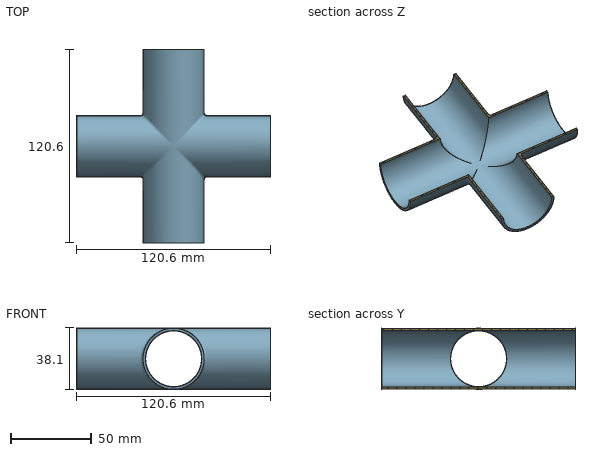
import cadquery as cq

length = 120.6
outer_diameter = 38.1
inner_diameter = 34.7
crotch_radius = 1.6


def crossed_cylinders(diameter):
    """Return two full-length cylinders, along X and Y, joined at the origin."""
    along_x = cq.Workplane("YZ").circle(diameter / 2).extrude(length / 2, both=True)
    along_y = cq.Workplane("XZ").circle(diameter / 2).extrude(length / 2, both=True)
    return along_x.union(along_y)


outside = crossed_cylinders(outer_diameter).edges("%ELLIPSE").fillet(crotch_radius)

result = outside.cut(crossed_cylinders(inner_diameter))